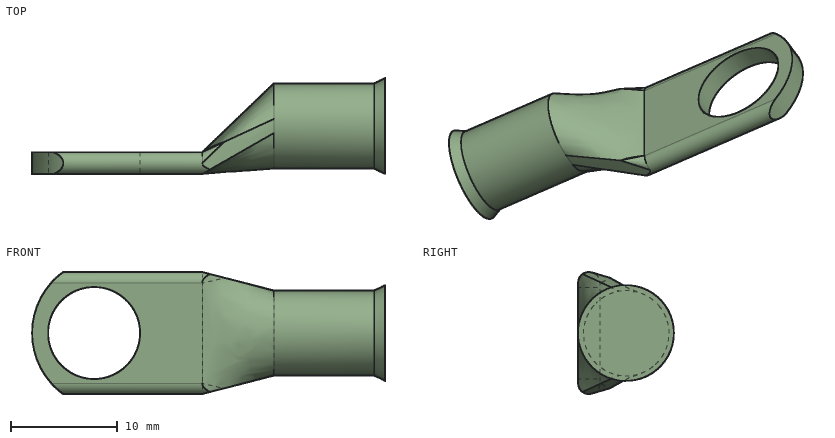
import cadquery as cq
import math

total_length = 33.05
tongue_end = 15.95
barrel_start = 22.65
flare_start = 32.05

barrel_radius = 4.0
flare_radius = 4.5
side_facet_half_angle = math.radians(9.5)

tongue_width = 11.45
tongue_thickness = 2.05
tongue_tip_radius = 7.05
hole_diameter = 8.6
hole_x = 5.82

fade_fraction = 0.3
faded_radius = 0.015

edge_radius = tongue_thickness / 2
tongue_y = edge_radius - flare_radius
flat_half_width = tongue_width / 2 - edge_radius
barrel_corner_y = barrel_radius * math.sin(side_facet_half_angle)
barrel_corner_z = barrel_radius * math.cos(side_facet_half_angle)


def section_profile(x, corners, arc_middles):
    """Close a YZ profile at x through its corners; a middle of None gives a straight edge."""
    edges = []
    for index, middle in enumerate(arc_middles):
        start = cq.Vector(x, *corners[index])
        end = cq.Vector(x, *corners[(index + 1) % len(corners)])
        if middle is None:
            edges.append(cq.Edge.makeLine(start, end))
        else:
            edges.append(cq.Edge.makeThreePointArc(start, cq.Vector(x, *middle), end))
    return cq.Wire.assembleEdges(edges)


def tongue_profile(x):
    """Rectangular section of the strip before its long edges are rounded."""
    low_y = tongue_y - edge_radius
    high_y = tongue_y + edge_radius
    corners = [
        (high_y, -tongue_width / 2),
        (high_y, tongue_width / 2),
        (low_y, tongue_width / 2),
        (low_y, -tongue_width / 2),
    ]
    return section_profile(x, corners, [None, None, None, None])


def barrel_profile(x):
    """Barrel circle split so that short side arcs face the rounded tongue edges."""
    corners = [
        (barrel_corner_y, -barrel_corner_z),
        (barrel_corner_y, barrel_corner_z),
        (-barrel_corner_y, barrel_corner_z),
        (-barrel_corner_y, -barrel_corner_z),
    ]
    middles = [(barrel_radius, 0), (0, barrel_radius), (-barrel_radius, 0), (0, -barrel_radius)]
    return section_profile(x, corners, middles)


def make_edge_waste():
    """Material outside the full-round long edges, running on into the transition."""
    side_z = flat_half_width + edge_radius / 2
    waste = cq.Workplane("YZ")
    for side in (-1, 1):
        square_edge = (
            cq.Workplane("YZ")
            .center(tongue_y, side * side_z)
            .rect(tongue_thickness, edge_radius)
            .extrude(barrel_start)
        )
        round_edge = (
            cq.Workplane("YZ")
            .center(tongue_y, side * flat_half_width)
            .circle(edge_radius)
            .extrude(barrel_start)
        )
        waste = waste.add(square_edge.cut(round_edge))
    return waste.combine()


def make_tongue():
    strip = cq.Workplane(
        cq.Solid.extrudeLinear(tongue_profile(0), [], cq.Vector(tongue_end, 0, 0))
    )
    tip_disc = (
        cq.Workplane("XZ")
        .center(tongue_tip_radius, 0)
        .circle(tongue_tip_radius)
        .extrude(total_length, both=True)
    )
    body_block = cq.Workplane("XY").box(
        tongue_end - tongue_tip_radius, total_length, tongue_width, centered=(False, True, True)
    ).translate((tongue_tip_radius, 0, 0))
    hole = (
        cq.Workplane("XZ")
        .center(hole_x, 0)
        .circle(hole_diameter / 2)
        .extrude(total_length, both=True)
    )
    return strip.intersect(tip_disc.union(body_block)).cut(hole).cut(make_edge_waste())


def fading_corner_profile(x, corner_y, corner_z, radius, side):
    """YZ section of the waste outside one raised corner rounded with the given radius."""
    round_y = corner_y - radius
    round_z = corner_z - radius
    mid_offset = radius * math.sqrt(0.5)
    corners = [
        (round_y, side * corner_z),
        (corner_y, side * round_z),
        (corner_y + radius, side * round_z),
        (corner_y + radius, side * (corner_z + radius)),
        (round_y, side * (corner_z + radius)),
    ]
    arc_middle = (round_y + mid_offset, side * (round_z + mid_offset))
    return section_profile(x, corners, [arc_middle, None, None, None, None])


def make_fading_waste(side):
    """Waste that rounds a raised transition corner, shrinking to nothing along its sloping edge."""
    start_y = tongue_y + edge_radius
    start_z = tongue_width / 2
    end_x = tongue_end + fade_fraction * (barrel_start - tongue_end)
    end_y = start_y + fade_fraction * (barrel_corner_y - start_y)
    end_z = start_z + fade_fraction * (barrel_corner_z - start_z)
    profiles = [
        fading_corner_profile(tongue_end, start_y, start_z, edge_radius, side),
        fading_corner_profile(end_x, end_y, end_z, faded_radius, side),
    ]
    return cq.Workplane(cq.Solid.makeLoft(profiles, True))


def make_transition():
    """Ruled blend whose low corners follow the tongue edges and whose raised corners sharpen."""
    profiles = [tongue_profile(tongue_end), barrel_profile(barrel_start)]
    blend = cq.Workplane(cq.Solid.makeLoft(profiles, True))
    lower_half = cq.Workplane("XY").box(
        total_length, edge_radius, tongue_width, centered=(False, False, True)
    ).translate((0, tongue_y - edge_radius, 0))
    blend = blend.cut(make_edge_waste().intersect(lower_half))
    for side in (-1, 1):
        blend = blend.cut(make_fading_waste(side))
    return blend


def make_barrel():
    return (
        cq.Workplane("XY")
        .moveTo(barrel_start, 0)
        .lineTo(barrel_start, barrel_radius)
        .lineTo(flare_start, barrel_radius)
        .lineTo(total_length, flare_radius)
        .lineTo(total_length, 0)
        .close()
        .revolve(360, (0, 0, 0), (1, 0, 0))
    )


result = make_tongue().union(make_transition()).union(make_barrel())